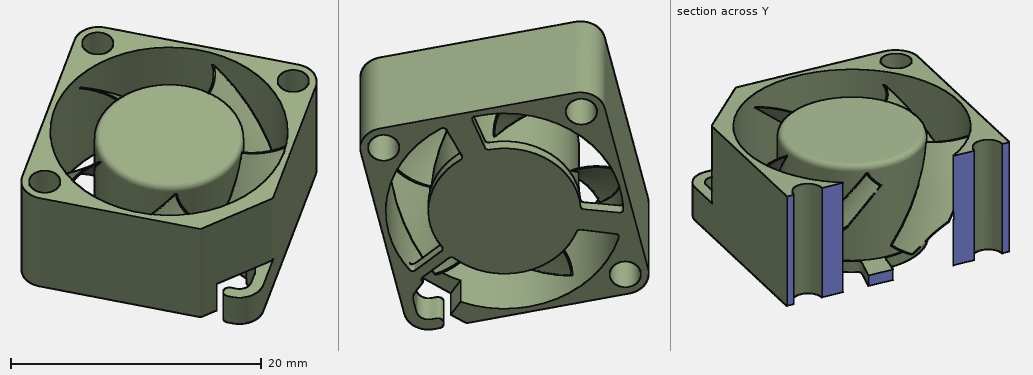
import cadquery as cq
import math

overlap = 0.2

side = 20.0
height = 10.0
half = side / 2
corner_radius = 2.0
bore_diameter = 19.0
hole_diameter = 2.5
hole_offset = 8.1
chamfer_x_length = 4.65
chamfer_y_length = 4.85
chamfer_edge_radius = 0.4

hook_height = 3.0
hook_thickness = 1.0
hook_tip_x = 7.08
hook_root_radius = 1.0
slot_width = 3.55

base_diameter = 12.2
base_height = 1.0
struts = [(79.2, 2.0, 2.3), (200.0, 2.0, 2.1), (330.8, 0.9, 0.9)]
strut_fillet = 0.3

hub_diameter = 11.95
hub_top = 9.6
hub_fillet = 0.5
blade_count = 5
blade_outer_radius = 9.3
blade_inner_radius = hub_diameter / 2 - overlap
blade_bottom = 1.9
blade_top = 8.9
blade_twist = 53.0
blade_start_angle = 94.0
blade_sweep = 8.5
blade_mid_sweep = 2.6
blade_width = 0.15


def polar(radius, angle):
    """Point at a radius and an angle in degrees."""
    turn = math.radians(angle)
    return (radius * math.cos(turn), radius * math.sin(turn))


def make_housing():
    """Square frame with one chamfered corner, a bore and three screw holes."""
    block = cq.Workplane("XY").box(side, side, height, centered=(True, True, False))
    block = block.edges("|Z and (<X or >Y)").fillet(corner_radius)
    corner = (
        cq.Workplane("XY")
        .polyline([
            (half - chamfer_x_length, -half),
            (half, -half),
            (half, -half + chamfer_y_length),
        ])
        .close()
        .extrude(height)
    )
    block = block.cut(corner)
    chamfer_ends = cq.selectors.BoxSelector(
        (half - chamfer_x_length - overlap, -half - overlap, 0),
        (half + overlap, -half + chamfer_y_length + overlap, height),
    )
    block = block.edges("|Z").edges(chamfer_ends).fillet(chamfer_edge_radius)
    bore = cq.Workplane("XY").circle(bore_diameter / 2).extrude(height)
    hole_places = [
        (-hole_offset, -hole_offset),
        (-hole_offset, hole_offset),
        (hole_offset, hole_offset),
    ]
    holes = cq.Workplane("XY").pushPoints(hole_places).circle(hole_diameter / 2).extrude(height)
    return block.cut(bore).cut(holes)


def make_wire_slot():
    """Diagonal opening through the chamfered wall, as high as the hook."""
    slot = cq.Workplane("XY").rect(side, slot_width).extrude(hook_height)
    return slot.translate((half, 0, 0)).rotate((0, 0, 0), (0, 0, 1), -45)


def make_hook():
    """J-shaped hook that continues the +X wall and turns along the -Y side."""
    inner = half - hook_thickness
    bend = half - corner_radius
    bend_inner_radius = corner_radius - hook_thickness
    tip_radius = hook_thickness / 2
    diagonal = math.sqrt(0.5)
    chamfer_y = -half + chamfer_y_length

    turn_y = slot_width / 2 / diagonal - inner
    half_turn = math.radians(45 / 2)
    tangent = hook_root_radius * math.tan(half_turn)
    turn_start = (inner, turn_y - tangent)
    turn_end = (inner - tangent * diagonal, turn_y + tangent * diagonal)
    turn_middle = (
        inner - hook_root_radius * (1 - math.cos(half_turn)),
        turn_start[1] + hook_root_radius * math.sin(half_turn),
    )

    outline = (
        cq.Workplane("XY")
        .moveTo(half, chamfer_y + chamfer_edge_radius)
        .lineTo(half, -bend)
        .threePointArc((bend + corner_radius * diagonal, -bend - corner_radius * diagonal), (bend, -half))
        .lineTo(hook_tip_x + tip_radius, -half)
        .threePointArc((hook_tip_x, -half + tip_radius), (hook_tip_x + tip_radius, -inner))
        .lineTo(bend, -inner)
        .threePointArc(
            (bend + bend_inner_radius * diagonal, -bend - bend_inner_radius * diagonal),
            (inner, -bend),
        )
        .lineTo(*turn_start)
        .threePointArc(turn_middle, turn_end)
        .close()
    )
    return outline.extrude(hook_height)


def make_struts():
    """Struts with rounded junctions, as the ring left between windows."""
    ring = (
        cq.Workplane("XY")
        .circle(bore_diameter / 2)
        .circle(base_diameter / 2 - overlap)
        .extrude(base_height)
    )
    windows = cq.Workplane("XY").circle(bore_diameter / 2).circle(base_diameter / 2).extrude(base_height)
    for direction, inner_width, outer_width in struts:
        strut = (
            cq.Workplane("XY")
            .polyline([
                (0, -inner_width / 2),
                (base_diameter / 2, -inner_width / 2),
                (bore_diameter / 2, -outer_width / 2),
                (half, -outer_width / 2),
                (half, outer_width / 2),
                (bore_diameter / 2, outer_width / 2),
                (base_diameter / 2, inner_width / 2),
                (0, inner_width / 2),
            ])
            .close()
            .extrude(base_height)
            .rotate((0, 0, 0), (0, 0, 1), direction)
        )
        windows = windows.cut(strut)
    windows = windows.edges("|Z").fillet(strut_fillet)
    return ring.cut(windows)


def make_rotor():
    """Round hub with twisted, swept blades standing on the stationary base."""
    base = cq.Workplane("XY").circle(base_diameter / 2).extrude(base_height)
    hub = cq.Workplane("XY").circle(hub_diameter / 2).extrude(hub_top)
    rotor = base.union(hub.faces(">Z").edges().fillet(hub_fillet))

    middle_radius = (blade_inner_radius + blade_outer_radius) / 2
    width_angle = math.degrees(blade_width / middle_radius)
    blade = (
        cq.Workplane("XY", origin=(0, 0, blade_bottom))
        .moveTo(*polar(blade_inner_radius, blade_start_angle))
        .threePointArc(
            polar(middle_radius, blade_start_angle + blade_mid_sweep),
            polar(blade_outer_radius, blade_start_angle + blade_sweep),
        )
        .lineTo(*polar(blade_outer_radius, blade_start_angle + blade_sweep + width_angle))
        .threePointArc(
            polar(middle_radius, blade_start_angle + blade_mid_sweep + width_angle),
            polar(blade_inner_radius, blade_start_angle + width_angle),
        )
        .close()
        .twistExtrude(blade_top - blade_bottom, blade_twist - width_angle)
    )
    for index in range(blade_count):
        rotor = rotor.union(blade.rotate((0, 0, 0), (0, 0, 1), index * 360 / blade_count))
    return rotor


frame = make_housing().cut(make_wire_slot())
frame = frame.union(make_struts()).union(make_hook())
result = frame.union(make_rotor())